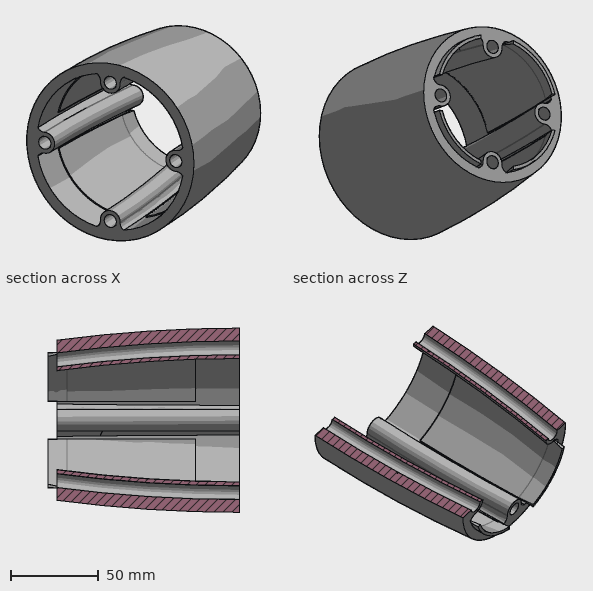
import cadquery as cq
import math

total_length = 109.4
lip_height = 5.1
body_length = total_length - lip_height
front_radius = 52.8
rear_radius = 45.9

bore_front_radius = 46.5
bore_rear_radius = 40.2

boss_count = 4
boss_center_radius = 41.3
boss_radius = 6.2
boss_hole_radius = 3.8
boss_root_half_width = 10.7
boss_root_radius = 49.2
root_fillet_radius = boss_root_half_width - boss_radius
root_fillet_center = 41.8
end_overrun = 3.3

sleeve_start = 25.2
sleeve_step = 0.7
lip_taper_start = 98.4
lip_inner_radius = 38.0
lip_outer_radius = 40.0
root_overlap = 1.1
lip_gap_width = 2 * boss_root_half_width


def curve_radius(start_radius, end_radius):
    """Radius of an arc parallel to Y at the wide end that closes in along the body."""
    drop = start_radius - end_radius
    return (body_length**2 + drop**2) / (2 * drop)


def radius_at(start_radius, end_radius, y):
    """Distance from the axis of the tapering arc at the given Y."""
    bend = curve_radius(start_radius, end_radius)
    return start_radius - bend + math.sqrt(bend**2 - y**2)


def tapering_solid(start_radius, end_radius):
    """Solid of revolution whose side follows the tapering arc."""
    mid_y = body_length / 2
    return (
        cq.Workplane("XY")
        .lineTo(start_radius, 0)
        .threePointArc(
            (radius_at(start_radius, end_radius, mid_y), mid_y),
            (end_radius, body_length),
        )
        .lineTo(0, body_length)
        .close()
        .revolve(360, (0, 0, 0), (0, 1, 0))
    )


def boss_path():
    """Boss centre line, bending inward together with the outer wall."""
    end_y = body_length + end_overrun
    mid_y = end_y / 2
    inset = front_radius - boss_center_radius
    return (
        cq.Workplane("YZ")
        .moveTo(0, boss_center_radius)
        .threePointArc(
            (mid_y, radius_at(front_radius, rear_radius, mid_y) - inset),
            (end_y, radius_at(front_radius, rear_radius, end_y) - inset),
        )
    )


def make_boss():
    """Rounded boss at +Z, with concave flanks blending into the wall."""
    fillet_top = root_fillet_center + root_fillet_radius
    diagonal = root_fillet_radius * math.sqrt(0.5)
    flank_x = boss_root_half_width - diagonal
    flank_z = root_fillet_center + diagonal
    profile = (
        cq.Workplane("XZ")
        .moveTo(-boss_root_half_width, boss_root_radius)
        .lineTo(-boss_root_half_width, fillet_top)
        .threePointArc((-flank_x, flank_z), (-boss_radius, root_fillet_center))
        .lineTo(-boss_radius, boss_center_radius)
        .threePointArc((0, boss_center_radius - boss_radius), (boss_radius, boss_center_radius))
        .lineTo(boss_radius, root_fillet_center)
        .threePointArc((flank_x, flank_z), (boss_root_half_width, fillet_top))
        .lineTo(boss_root_half_width, boss_root_radius)
        .close()
    )
    return profile.sweep(boss_path())


def make_boss_hole():
    """Through hole following the boss centre line."""
    return (
        cq.Workplane("XZ")
        .center(0, boss_center_radius)
        .circle(boss_hole_radius)
        .sweep(boss_path())
    )


def sleeve_radius(y):
    """Inner radius of the sleeve, one step inside the bore wall."""
    return radius_at(bore_front_radius, bore_rear_radius, y) - sleeve_step


def sleeve_root_radius(y):
    """Radius buried in the wall behind the bore surface."""
    return radius_at(bore_front_radius, bore_rear_radius, y) + root_overlap


def make_lip():
    """Thin sleeve and tapered lip, interrupted at each boss."""
    sleeve_mid = (sleeve_start + lip_taper_start) / 2
    root_mid = (sleeve_start + body_length) / 2
    ring = (
        cq.Workplane("XY")
        .moveTo(sleeve_root_radius(sleeve_start), sleeve_start)
        .lineTo(sleeve_radius(sleeve_start), sleeve_start)
        .threePointArc(
            (sleeve_radius(sleeve_mid), sleeve_mid),
            (sleeve_radius(lip_taper_start), lip_taper_start),
        )
        .lineTo(lip_inner_radius, total_length)
        .lineTo(lip_outer_radius, total_length)
        .lineTo(bore_rear_radius, body_length)
        .lineTo(sleeve_root_radius(body_length), body_length)
        .threePointArc(
            (sleeve_root_radius(root_mid), root_mid),
            (sleeve_root_radius(sleeve_start), sleeve_start),
        )
        .close()
        .revolve(360, (0, 0, 0), (0, 1, 0))
    )
    span = 2 * front_radius
    gap_length = 3 * total_length
    gap_along_x = cq.Workplane("XY").box(span, gap_length, lip_gap_width)
    gap_along_z = cq.Workplane("XY").box(lip_gap_width, gap_length, span)
    return ring.cut(gap_along_x).cut(gap_along_z)


outer = tapering_solid(front_radius, rear_radius)
result = outer.cut(tapering_solid(bore_front_radius, bore_rear_radius))

boss = make_boss().intersect(outer)
hole = make_boss_hole()
boss_angles = [index * 360 / boss_count for index in range(boss_count)]
for angle in boss_angles:
    result = result.union(boss.rotate((0, 0, 0), (0, 1, 0), angle))
for angle in boss_angles:
    result = result.cut(hole.rotate((0, 0, 0), (0, 1, 0), angle))

result = result.union(make_lip())